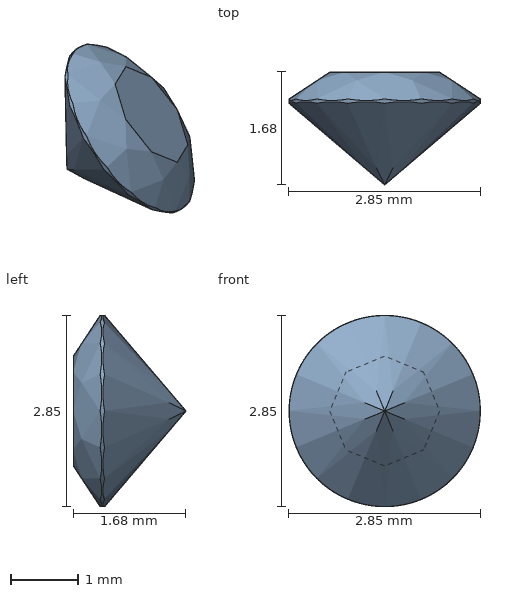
import cadquery as cq
import math

girdle_radius = 1.425
crown_height = 0.4
girdle_thickness = 0.065
pavilion_depth = 1.215
table_radius = 0.818
crown_joint_radius = 1.092
pavilion_joint_radius = 0.32

main_count = 8
main_step = 360.0 / main_count
half_step = main_step / 2
cutter_size = 4 * girdle_radius

culet_y = -pavilion_depth
crown_base_y = girdle_thickness
table_y = crown_base_y + crown_height

bezel_slope = crown_height / (girdle_radius - table_radius)
pavilion_slope = pavilion_depth / girdle_radius
joint_cosine = math.cos(math.radians(half_step))
crown_joint_y = table_y - (crown_joint_radius * joint_cosine - table_radius) * bezel_slope
pavilion_joint_y = culet_y + pavilion_joint_radius * joint_cosine * pavilion_slope


def ring_point(radius, angle, y):
    """Point at a given radius and angle (degrees) about the Y axis."""
    turn = math.radians(angle)
    return cq.Vector(radius * math.cos(turn), y, radius * math.sin(turn))


def facet_cutter(first, second, third):
    """Block whose inner face is the plane through three points of a facet."""
    normal = (second - first).cross(third - first).normalized()
    if normal.dot(first) < 0:
        normal = -normal
    plane = cq.Plane(origin=first, xDir=second - first, normal=normal)
    return cq.Workplane(plane).rect(cutter_size, cutter_size).extrude(cutter_size)


def cut_facets(body, points):
    """Cut one facet at every main position round the axis."""
    cutter = facet_cutter(*points)
    for index in range(main_count):
        body = body.cut(cutter.rotate((0, 0, 0), (0, 1, 0), index * main_step))
    return body


def cut_main_facets(body, inner_radius, inner_y, girdle_y, joint_radius, joint_y):
    """Kite facets running from the girdle to the table or the point."""
    points = (
        ring_point(girdle_radius, 0, girdle_y),
        ring_point(inner_radius, 0, inner_y),
        ring_point(joint_radius, half_step, joint_y),
    )
    return cut_facets(body, points)


def cut_girdle_facets(body, joint_radius, joint_y, girdle_y):
    """Mirrored pairs of facets that scallop the edge of the girdle."""
    for side in (-half_step, half_step):
        points = (
            ring_point(girdle_radius, 0, girdle_y),
            ring_point(girdle_radius, side, girdle_y),
            ring_point(joint_radius, side, joint_y),
        )
        body = cut_facets(body, points)
    return body


def cut_star_facets(body):
    """Triangles between neighbouring table corners and a crown joint."""
    points = (
        ring_point(table_radius, 0, table_y),
        ring_point(table_radius, main_step, table_y),
        ring_point(crown_joint_radius, half_step, crown_joint_y),
    )
    return cut_facets(body, points)


blank_height = table_y - culet_y
gem = cq.Workplane("XZ", origin=(0, table_y, 0)).circle(girdle_radius).extrude(blank_height)

gem = cut_main_facets(gem, 0, culet_y, 0, pavilion_joint_radius, pavilion_joint_y)
gem = cut_girdle_facets(gem, pavilion_joint_radius, pavilion_joint_y, 0)

gem = cut_main_facets(gem, table_radius, table_y, crown_base_y, crown_joint_radius, crown_joint_y)
gem = cut_girdle_facets(gem, crown_joint_radius, crown_joint_y, crown_base_y)
gem = cut_star_facets(gem)

result = cq.Workplane(gem.solids().val())